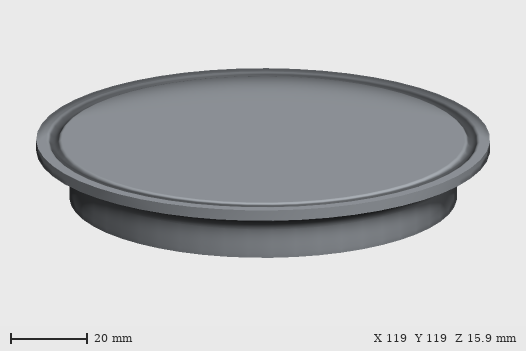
import cadquery as cq
import math

height = 15.9
rim_radius = 59.5
rim_thickness = 2.9
stem_radius = 50.8
taper_angle = math.radians(20)
neck_fillet = 3.0

groove_radius = 54.8
groove_half_width = 2.0
bead_radius = 1.3
lip_radius = 1.0


def make_body():
    """Revolve the outer profile with a concave neck tangent to the stem and the taper."""
    fillet_center_r = stem_radius + neck_fillet
    taper_start_r = fillet_center_r - neck_fillet * math.sin(taper_angle)
    rim_bottom = height - rim_thickness
    taper_start_z = rim_bottom - (rim_radius - taper_start_r) * math.tan(taper_angle)
    fillet_center_z = taper_start_z - neck_fillet * math.cos(taper_angle)
    mid_angle = (math.pi / 2 + taper_angle) / 2
    neck_middle = (
        fillet_center_r - neck_fillet * math.sin(mid_angle),
        fillet_center_z + neck_fillet * math.cos(mid_angle),
    )
    return (
        cq.Workplane("XZ")
        .lineTo(stem_radius, 0)
        .lineTo(stem_radius, fillet_center_z)
        .threePointArc(neck_middle, (taper_start_r, taper_start_z))
        .lineTo(rim_radius, rim_bottom)
        .lineTo(rim_radius, height)
        .lineTo(0, height)
        .close()
        .revolve(360, (0, 0), (0, 1))
    )


def make_groove():
    """Ring to cut: a concave bottom joined tangentially to a convex lip on each side."""
    join_angle = math.asin(groove_half_width / (bead_radius + lip_radius))
    bead_center_z = height - lip_radius + (bead_radius + lip_radius) * math.cos(join_angle)
    join_offset = bead_radius * math.sin(join_angle)
    join_z = bead_center_z - bead_radius * math.cos(join_angle)
    lip_mid_offset = groove_half_width - lip_radius * math.sin(join_angle / 2)
    lip_mid_z = height - lip_radius + lip_radius * math.cos(join_angle / 2)
    return (
        cq.Workplane("XZ")
        .moveTo(groove_radius - groove_half_width, height)
        .threePointArc((groove_radius - lip_mid_offset, lip_mid_z), (groove_radius - join_offset, join_z))
        .threePointArc((groove_radius, bead_center_z - bead_radius), (groove_radius + join_offset, join_z))
        .threePointArc((groove_radius + lip_mid_offset, lip_mid_z), (groove_radius + groove_half_width, height))
        .close()
        .revolve(360, (0, 0), (0, 1))
    )


result = make_body().cut(make_groove())